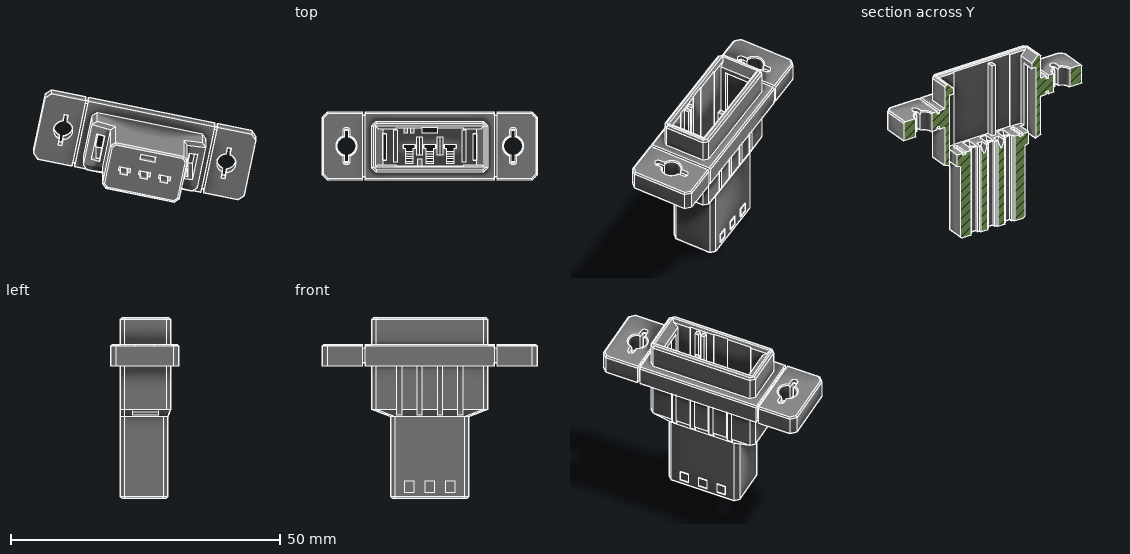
import cadquery as cq

total_height = 33.6
tail_top = 15.2
shell_bottom = 16.55
flange_bottom = 24.6
flange_thickness = 4.0
flange_top = flange_bottom + flange_thickness

flange_length = 40.0
flange_width = 12.7
flange_corner = 1.0
flange_edge = 0.3
break_offset = 12.25
break_width = 0.5
break_depth = 0.6

keyhole_offset = 15.5
keyhole_radius = 1.75
keyhole_chamfer = 0.2
slit_width = 0.7
slit_length = 5.85
slit_mouth_width = 1.3
slit_mouth_length = 6.95
slit_mouth_depth = 0.6

back_y = 4.55
shell_width = 21.6
shell_front_y = -4.85
tail_width = 14.55
tail_front_y = -4.3
body_corner = 0.8
body_end_chamfer = 0.35

contact_pitch = 3.8
contact_xs = [i * contact_pitch for i in (-1, 0, 1)]
groove_xs = [i * contact_pitch for i in (-1.5, -0.5, 0.5, 1.5)]
groove_width = 1.0
groove_depth = 0.4
groove_bottom = 15.5

cavity_floor = 18.0
cavity_width = 17.45
cavity_back_y = 3.2
cavity_front_y = -3.55
side_lead_in = 1.35
back_lead_in = 0.5
front_lead_in = 0.35
wall_relief_width = 12.5
wall_relief_depth = 0.1

latch_inner_x = 8.05
latch_outer_x = 9.6
latch_front_y = -2.6
latch_back_y = 2.3
latch_top = 31.1

keyway_width = 2.8
keyway_front_y = 2.45
keyway_back_y = 3.4

rib_top = 32.8
back_rib_xs = (-4.5, -3.3)
back_rib_width = 0.7
back_rib_front_y = 2.45
front_rib_x = -1.9
front_rib_width = 0.8
front_rib_back_y = -2.45

tee_head_width = 2.15
tee_back_y = 0.3
tee_shoulder_y = -0.45
tee_stem_width = 1.35
tee_front_y = -1.0
pocket_step_ys = (-1.5, -1.95, -2.3)
pocket_ramp_y = -2.9
pocket_front_y = -3.3
pocket_step_drop = 0.25

marking_width = 1.7
marking_bottom = 1.1
marking_top = 3.2
marking_depth = 0.1

vee_xs = [i * contact_pitch for i in (-0.5, 0.5)]
vee_width = 1.15
vee_length = 3.3
vee_shoulder_inset = 0.15
vee_shoulder_depth = 0.6
vee_depth = 1.6
floor_slot_offset = 6.4
floor_slot_width = 0.75
floor_slot_length = 6.0
floor_slot_depth = 0.4


def block(x_range, y_range, z_range):
    """Axis-aligned box given by its limits along X, Y and Z."""
    corner = (x_range[0], y_range[0], z_range[0])
    size = [high - low for low, high in (x_range, y_range, z_range)]
    return cq.Workplane("XY").box(*size, centered=False).translate(corner)


def centered_range(center, width):
    return (center - width / 2, center + width / 2)


def body_outline(plane, width, front_y):
    """Add a rectangle with cut corners to the plane."""
    x = width / 2
    c = body_corner
    return plane.polyline([
        (-x, front_y + c), (-x + c, front_y), (x - c, front_y), (x, front_y + c),
        (x, back_y - c), (x - c, back_y), (-x + c, back_y), (-x, back_y - c),
    ]).close()


def make_body():
    shell_height = total_height - shell_bottom
    shell_plane = cq.Workplane("XY", origin=(0, 0, shell_bottom))
    shell = body_outline(shell_plane, shell_width, shell_front_y).extrude(shell_height)
    shell = shell.faces(">Z").chamfer(body_end_chamfer)
    tail = body_outline(cq.Workplane("XY"), tail_width, tail_front_y).extrude(tail_top)
    tail = tail.faces("<Z").chamfer(body_end_chamfer)
    taper_plane = cq.Workplane("XY", origin=(0, 0, tail_top))
    taper = body_outline(taper_plane, tail_width, tail_front_y)
    taper = taper.workplane(offset=shell_bottom - tail_top)
    taper = body_outline(taper, shell_width, shell_front_y).loft(ruled=True)
    return shell.union(taper).union(tail)


def make_flange():
    flange = cq.Workplane("XY", origin=(0, 0, flange_bottom))
    flange = flange.rect(flange_length, flange_width).extrude(flange_thickness)
    flange = flange.edges("|Z").chamfer(flange_corner)
    flange = flange.faces(">Z").chamfer(flange_edge)
    neck = block(
        centered_range(0, flange_length),
        centered_range(0, flange_width - 2 * break_depth),
        (flange_bottom + break_depth, flange_top - break_depth),
    )
    for side in (-1, 1):
        gap = block(
            centered_range(side * break_offset, break_width),
            centered_range(0, flange_width),
            (flange_bottom, flange_top),
        )
        flange = flange.cut(gap.cut(neck))
        flange = flange.cut(make_keyhole(side * keyhole_offset))
    return flange


def make_keyhole(x):
    """Round hole with a slit across it, both widened at the top face."""
    base = cq.Workplane("XY", origin=(x, 0, flange_bottom))
    hole = base.circle(keyhole_radius).extrude(flange_thickness)
    slit = base.rect(slit_width, slit_length).extrude(flange_thickness)
    cone_plane = cq.Workplane("XY", origin=(x, 0, flange_top - keyhole_chamfer))
    cone = cone_plane.circle(keyhole_radius).workplane(offset=keyhole_chamfer)
    cone = cone.circle(keyhole_radius + keyhole_chamfer).loft()
    mouth_growth = slit_mouth_width - slit_width
    mouth = cq.Workplane("XY", origin=(x, 0, flange_top - slit_mouth_depth))
    mouth = mouth.slot2D(slit_mouth_length - mouth_growth, slit_width, 90)
    mouth = mouth.workplane(offset=slit_mouth_depth)
    mouth = mouth.slot2D(slit_mouth_length, slit_mouth_width, 90).loft()
    return hole.union(slit).union(cone).union(mouth)


def make_cavity():
    """Rectangular cavity whose mouth opens out at 45 degrees."""
    x = cavity_width / 2
    across = cq.Workplane("XZ").polyline([
        (-x, cavity_floor), (x, cavity_floor),
        (x, total_height - side_lead_in), (x + side_lead_in, total_height),
        (-x - side_lead_in, total_height), (-x, total_height - side_lead_in),
    ]).close().extrude(flange_width / 2, both=True)
    along = cq.Workplane("YZ").polyline([
        (cavity_front_y, cavity_floor), (cavity_back_y, cavity_floor),
        (cavity_back_y, total_height - back_lead_in), (cavity_back_y + back_lead_in, total_height),
        (cavity_front_y - front_lead_in, total_height), (cavity_front_y, total_height - front_lead_in),
    ]).close().extrude(flange_length / 2, both=True)
    relief = block(
        centered_range(0, wall_relief_width),
        (cavity_front_y - wall_relief_depth, cavity_back_y + wall_relief_depth),
        (cavity_floor, total_height - wall_relief_depth),
    )
    return across.intersect(along).union(relief)


def make_ribs():
    ribs = block(
        centered_range(front_rib_x, front_rib_width),
        (cavity_front_y - wall_relief_depth, front_rib_back_y),
        (cavity_floor, rib_top),
    )
    for x in back_rib_xs:
        ribs = ribs.union(block(
            centered_range(x, back_rib_width),
            (back_rib_front_y, cavity_back_y + wall_relief_depth),
            (cavity_floor, rib_top),
        ))
    return ribs


def make_contact_opening(x):
    """T-shaped through opening with a stepped pocket at the foot of the T."""
    through = (0, cavity_floor)
    stem = centered_range(x, tee_stem_width)
    head = block(centered_range(x, tee_head_width), (tee_shoulder_y, tee_back_y), through)
    foot = block(stem, (tee_front_y, tee_shoulder_y), through)
    points = [(tee_front_y, cavity_floor)]
    level = cavity_floor - pocket_step_drop
    step_back_y = tee_front_y
    for step_front_y in pocket_step_ys:
        points += [(step_back_y, level), (step_front_y, level)]
        step_back_y = step_front_y
        level -= pocket_step_drop
    points += [(pocket_ramp_y, level), (pocket_front_y, cavity_floor)]
    pocket = cq.Workplane("YZ", origin=(stem[0], 0, 0)).polyline(points).close()
    return head.union(foot).union(pocket.extrude(tee_stem_width))


def make_vee_groove(x):
    """Groove with steep shoulders above a V-shaped bottom."""
    half = vee_width / 2
    shoulder_z = cavity_floor - vee_shoulder_depth
    profile = cq.Workplane("XZ").polyline([
        (x - half, cavity_floor), (x - half + vee_shoulder_inset, shoulder_z),
        (x, cavity_floor - vee_depth),
        (x + half - vee_shoulder_inset, shoulder_z), (x + half, cavity_floor),
    ]).close()
    return profile.extrude(vee_length / 2, both=True)


result = make_body().union(make_flange())

result = result.cut(make_cavity().cut(make_ribs()))

for groove_x in groove_xs:
    result = result.cut(block(
        centered_range(groove_x, groove_width),
        (shell_front_y, shell_front_y + groove_depth),
        (groove_bottom, flange_bottom),
    ))

for contact_x in contact_xs:
    result = result.cut(make_contact_opening(contact_x))
    result = result.cut(block(
        centered_range(contact_x, marking_width),
        (tail_front_y, tail_front_y + marking_depth),
        (marking_bottom, marking_top),
    ))

for vee_x in vee_xs:
    result = result.cut(make_vee_groove(vee_x))

result = result.cut(block(
    centered_range(0, keyway_width),
    (keyway_front_y, keyway_back_y),
    (0, total_height - wall_relief_depth),
))

latch = block(
    (latch_inner_x, latch_outer_x),
    (latch_front_y, latch_back_y),
    (tail_top, latch_top),
)
floor_slot = block(
    centered_range(floor_slot_offset, floor_slot_width),
    centered_range(0, floor_slot_length),
    (cavity_floor - floor_slot_depth, cavity_floor),
)
for cutter in (latch, floor_slot):
    result = result.cut(cutter).cut(cutter.mirror("YZ"))